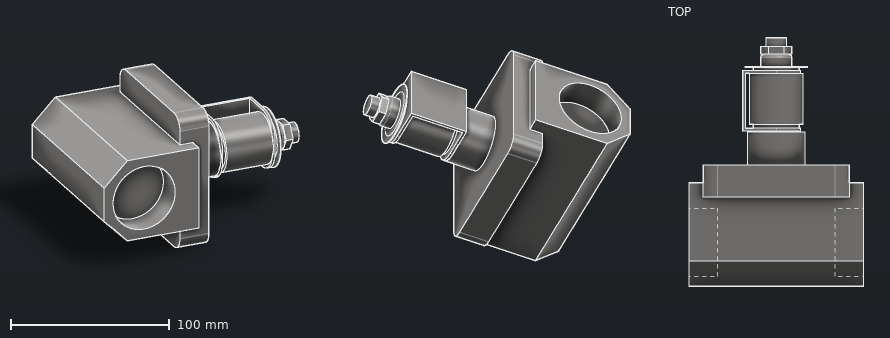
import cadquery as cq

TOTAL_LENGTH = 156.8

BLOCK_LENGTH = 110.0
BLOCK_HEIGHT = 55.2
BLOCK_CHAMFER = 16.0
BLOCK_REAR_SETBACK = 11.1
BODY_DEPTH = 76.5
PLATE_SIDE = 92.0
PLATE_THICKNESS = 20.0
PLATE_CORNER_RADIUS = 9.1
SOCKET_DIAMETER = 43.0
SOCKET_DEPTH = 18.0

COLLAR_END = 20.9
BRACKET_START = 21.3
COIL_START = 25.5
BRACKET_END = 59.6
WASHER_START = 61.5
WASHER_THICKNESS = 0.5
NECK_END = 69.8
NUT_END = 74.6
TIP_END = TOTAL_LENGTH - BODY_DEPTH

COLLAR_RADIUS = 18.2
CORE_RADIUS = 14.6
COIL_RADIUS = 17.0
WASHER_RADIUS = 19.6
NECK_RADIUS = 9.9
NECK_FILLET = 2.2
NUT_CORNER_RADIUS = 9.9
TIP_RADIUS = 6.6

BRACKET_THICKNESS = 1.9
BRACKET_HEIGHT = 39.2
BRACKET_WEB_REACH = 21.2
BRACKET_ARM_REACH = 15.4
COIL_END = BRACKET_END - BRACKET_THICKNESS


def box_between(x_range, y_range, height):
    """Box over the given X and Y ranges, centred on Z = 0."""
    length = x_range[1] - x_range[0]
    depth = y_range[1] - y_range[0]
    return (
        cq.Workplane("XY")
        .box(length, depth, height, centered=(False, False, True))
        .translate((x_range[0], y_range[0], 0))
    )


def y_plane(y):
    """Work plane at the given Y whose normal points along +Y."""
    return cq.Workplane(cq.Plane(origin=(0, y, 0), xDir=(1, 0, 0), normal=(0, 1, 0)))


def disc(radius, start, end):
    """Cylinder on the stem axis between two Y stations."""
    return y_plane(start).circle(radius).extrude(end - start)


def make_valve_body():
    half_length = BLOCK_LENGTH / 2
    block = box_between(
        (-half_length, half_length), (-BODY_DEPTH, -BLOCK_REAR_SETBACK), BLOCK_HEIGHT
    )
    block = block.faces("<Y").edges("|X").chamfer(BLOCK_CHAMFER)

    half_side = PLATE_SIDE / 2
    plate = box_between((-half_side, half_side), (-PLATE_THICKNESS, 0), PLATE_SIDE)
    plate = plate.edges("|Y").fillet(PLATE_CORNER_RADIUS)
    body = block.union(plate)

    socket_y = -BODY_DEPTH + BLOCK_HEIGHT / 2
    for socket_start in (-half_length, half_length - SOCKET_DEPTH):
        socket = (
            cq.Workplane("YZ", origin=(socket_start, socket_y, 0))
            .circle(SOCKET_DIAMETER / 2)
            .extrude(SOCKET_DEPTH)
        )
        body = body.cut(socket)
    return body


def make_bracket():
    bracket = box_between(
        (-BRACKET_WEB_REACH, BRACKET_ARM_REACH), (BRACKET_START, BRACKET_END), BRACKET_HEIGHT
    )
    bracket = bracket.faces(">X").edges("|Y").fillet(BRACKET_ARM_REACH)
    opening = box_between(
        (BRACKET_THICKNESS - BRACKET_WEB_REACH, BRACKET_ARM_REACH),
        (BRACKET_START + BRACKET_THICKNESS, COIL_END),
        BRACKET_HEIGHT,
    )
    return bracket.cut(opening)


def make_actuator():
    neck = disc(NECK_RADIUS, WASHER_START, NECK_END).faces(">Y").edges().fillet(NECK_FILLET)
    nut = y_plane(NECK_END).polygon(6, 2 * NUT_CORNER_RADIUS).extrude(NUT_END - NECK_END)
    return (
        disc(COLLAR_RADIUS, 0, COLLAR_END)
        .union(disc(CORE_RADIUS, COLLAR_END, WASHER_START))
        .union(disc(COIL_RADIUS, COIL_START, COIL_END))
        .union(make_bracket())
        .union(disc(WASHER_RADIUS, WASHER_START, WASHER_START + WASHER_THICKNESS))
        .union(neck)
        .union(nut)
        .union(disc(TIP_RADIUS, NUT_END, TIP_END))
    )


valve_body = make_valve_body()
actuator = make_actuator()

result = cq.Compound.makeCompound([valve_body.solids().val(), actuator.solids().val()])